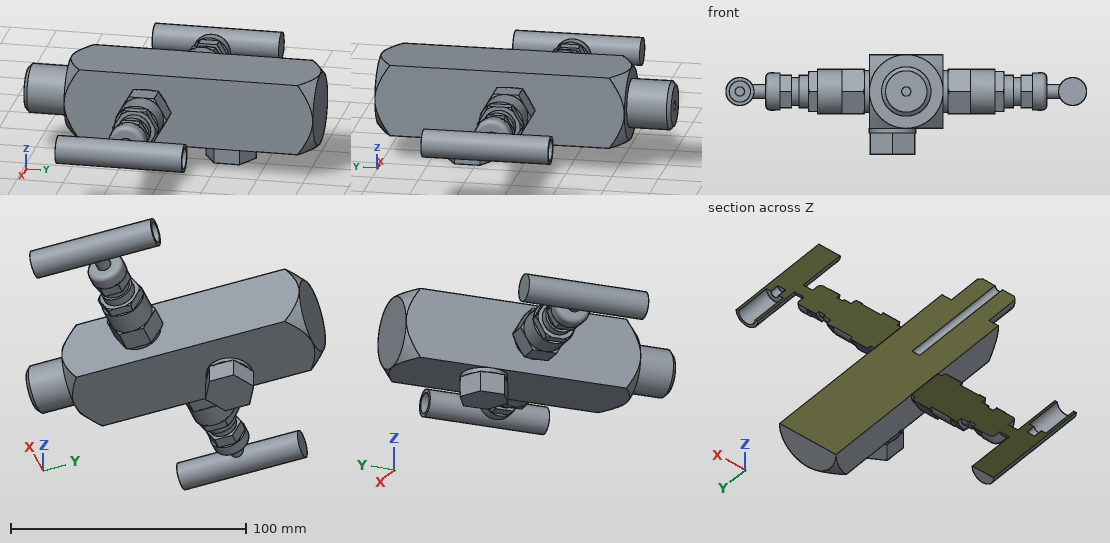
import cadquery as cq
import math


OVERALL_WIDTH = 153.5

BLOCK_SIDE = 31.5
BLOCK_LENGTH = 108.0
END_CIRCLE_DIAMETER = 31.3
END_CONE_HALF_ANGLE = 45.0

SPIGOT_DIAMETER = 21.0
SPIGOT_LENGTH = 18.9
SPIGOT_CHAMFER = 1.7
INLET_BORE_DIAMETER = 4.0

PLUG_X = -5.8
PLUG_Y = 68.2
PLUG_COLLAR_DIAMETER = 20.0
PLUG_COLLAR_LENGTH = 2.0
PLUG_HEX_FLATS = 19.0
PLUG_HEX_LENGTH = 9.0

RIGHT_VALVE_Y = 36.0
LEFT_VALVE_Y = 49.1

SEAT_DIAMETER = 18.0
SEAT_LENGTH = 2.0
BODY_DIAMETER = 19.0
BODY_HEX_LENGTH = 9.7
BODY_LENGTH = 10.5
LOCK_HEX_FLATS = 17.0
LOCK_HEX_LENGTH = 3.8
COLLAR_DIAMETER = 14.0
COLLAR_LENGTH = 3.8
NECK_DIAMETER = 12.0
NECK_LENGTH = 3.2
CAP_HEX_FLATS = 14.0
CAP_HEX_LENGTH = 4.9
CAP_DIAMETER = 16.0
CAP_LENGTH = 6.1
CAP_FILLET = 2.0
STEM_DIAMETER = 6.0

CORNER_CUT_AXIAL = 0.5
CORNER_CUT_RADIAL = 0.9

HANDLE_DIAMETER = 12.0
HANDLE_LENGTH = 55.0
HANDLE_BORE_DIAMETER = 9.0
HANDLE_BORE_DEPTH = 18.4
HANDLE_PILOT_DIAMETER = 4.0
HANDLE_PILOT_DEPTH = 4.6
HANDLE_X = OVERALL_WIDTH / 2 - HANDLE_DIAMETER / 2


def across_corners(flats):
    return flats / math.cos(math.radians(30))


def disc(start, length, diameter):
    """Cylinder along X from `start`."""
    return cq.Workplane("YZ", origin=(start, 0, 0)).circle(diameter / 2).extrude(length)


def hexagon(start, length, flats):
    """Hexagonal prism along X from `start`, with corners pointing along +Y and -Y."""
    return cq.Workplane("YZ", origin=(start, 0, 0)).polygon(6, across_corners(flats)).extrude(length)


def chamfered_hexagon(start, length, flats, end):
    """Hexagonal prism whose corners are turned to a cone at one end face."""
    envelope = disc(start, length, across_corners(flats))
    envelope = envelope.faces(end).chamfer(CORNER_CUT_AXIAL, CORNER_CUT_RADIAL)
    return hexagon(start, length, flats).intersect(envelope)


def make_block_blank():
    """Square bar with both ends turned to a cone, which cuts only its corners."""
    corner_radius = BLOCK_SIDE / math.sqrt(2)
    end_radius = END_CIRCLE_DIAMETER / 2
    cone_length = (corner_radius - end_radius) / math.tan(math.radians(END_CONE_HALF_ANGLE))
    bar = cq.Workplane("XY").box(BLOCK_SIDE, BLOCK_LENGTH, BLOCK_SIDE, centered=(True, False, True))
    envelope = (
        cq.Workplane("XY")
        .moveTo(0, 0)
        .lineTo(end_radius, 0)
        .lineTo(corner_radius, cone_length)
        .lineTo(corner_radius, BLOCK_LENGTH - cone_length)
        .lineTo(end_radius, BLOCK_LENGTH)
        .lineTo(0, BLOCK_LENGTH)
        .close()
        .revolve(360, (0, 0, 0), (0, 1, 0))
    )
    return bar.intersect(envelope)


def make_spigot():
    spigot = cq.Workplane("XZ").circle(SPIGOT_DIAMETER / 2).extrude(SPIGOT_LENGTH)
    return spigot.faces("<Y").chamfer(SPIGOT_CHAMFER)


def make_inlet_bore():
    """Blind bore from the spigot tip to the axis of the nearer valve."""
    tip = cq.Workplane("XZ", origin=(0, -SPIGOT_LENGTH, 0))
    return tip.circle(INLET_BORE_DIAMETER / 2).extrude(-(SPIGOT_LENGTH + RIGHT_VALVE_Y))


def make_plug():
    collar_top = cq.Workplane("XY", origin=(PLUG_X, PLUG_Y, -BLOCK_SIDE / 2))
    collar = collar_top.circle(PLUG_COLLAR_DIAMETER / 2).extrude(-PLUG_COLLAR_LENGTH)
    head = (
        collar_top.workplane(offset=-PLUG_COLLAR_LENGTH)
        .transformed(rotate=(0, 0, 90))
        .polygon(6, across_corners(PLUG_HEX_FLATS))
        .extrude(-PLUG_HEX_LENGTH)
    )
    return collar.union(head)


def make_block():
    return make_block_blank().union(make_spigot()).union(make_plug()).cut(make_inlet_bore())


def make_bonnet():
    """Turned and hexagonal steps of a valve, from the block face outwards along +X."""
    body_hex_start = BLOCK_SIDE / 2 + SEAT_LENGTH
    body_start = body_hex_start + BODY_HEX_LENGTH
    lock_hex_start = body_start + BODY_LENGTH
    collar_start = lock_hex_start + LOCK_HEX_LENGTH
    neck_start = collar_start + COLLAR_LENGTH
    cap_hex_start = neck_start + NECK_LENGTH
    cap_start = cap_hex_start + CAP_HEX_LENGTH
    cap_end = cap_start + CAP_LENGTH

    cap = disc(cap_start, CAP_LENGTH, CAP_DIAMETER).faces(">X").edges().fillet(CAP_FILLET)
    return (
        disc(BLOCK_SIDE / 2, SEAT_LENGTH, SEAT_DIAMETER)
        .union(chamfered_hexagon(body_hex_start, BODY_HEX_LENGTH, BODY_DIAMETER, "<X"))
        .union(disc(body_start, BODY_LENGTH, BODY_DIAMETER))
        .union(chamfered_hexagon(lock_hex_start, LOCK_HEX_LENGTH, LOCK_HEX_FLATS, ">X"))
        .union(disc(collar_start, COLLAR_LENGTH, COLLAR_DIAMETER))
        .union(disc(neck_start, NECK_LENGTH, NECK_DIAMETER))
        .union(hexagon(cap_hex_start, CAP_HEX_LENGTH, CAP_HEX_FLATS))
        .union(cap)
        .union(disc(cap_end, HANDLE_X - cap_end, STEM_DIAMETER))
    )


def handle_cylinder(diameter, depth):
    """Cylinder on the handle axis, running from the +Y end of the handle towards -Y."""
    end = cq.Workplane("XZ", origin=(HANDLE_X, HANDLE_LENGTH / 2, 0))
    return end.circle(diameter / 2).extrude(depth)


def make_handle_bore():
    """Stepped blind bore in the +Y end of the handle."""
    bore = handle_cylinder(HANDLE_BORE_DIAMETER, HANDLE_BORE_DEPTH)
    pilot = handle_cylinder(HANDLE_PILOT_DIAMETER, HANDLE_BORE_DEPTH + HANDLE_PILOT_DEPTH)
    return bore.union(pilot)


def make_valve(y, turn):
    """Valve along +X, turned about the vertical axis and moved to its place along the block."""
    bar = handle_cylinder(HANDLE_DIAMETER, HANDLE_LENGTH)
    valve = make_bonnet().union(bar).cut(make_handle_bore())
    return valve.rotate((0, 0, 0), (0, 0, 1), turn).translate((0, y, 0))


block = make_block()
valves = [make_valve(y, turn).val() for y, turn in ((RIGHT_VALVE_Y, 0), (LEFT_VALVE_Y, 180))]

result = cq.Compound.makeCompound([block.val(), *valves])